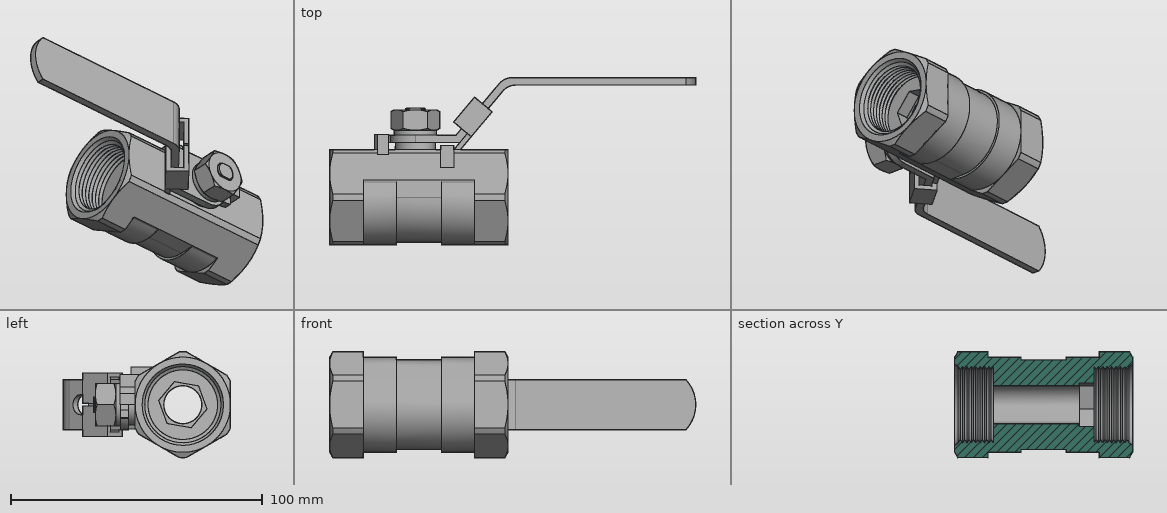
import cadquery as cq
import math


body_length = 70.9
hex_flats = 37.8
hex_corner_diameter = 42.2
end_chamfer_angle = 30.0
hex_end_length = 13.4
collar_length = 13.1
collar_diameter = 37.8
waist_diameter = 35.8

thread_minor_diameter = 27.7
thread_major_diameter = 30.3
port_mouth_diameter = 32.3
mouth_depth = 1.5
thread_pitch = 1.7
thread_turns = 8
passage_diameter = 15.0
socket_flats = 16.9
socket_depth = 5.8
socket_turn = 10.0

stem_x = 34.0
stem_diameter = 8.0
stem_flats = 6.1
stem_top = 35.5
stem_chamfer = 0.5
gland_diameter = 16.0
gland_embed = 0.7
washer_diameter = 16.9
nut_flats = 16.9
nut_bottom = 26.6
nut_top = 34.8
nut_chamfer_angle = 30.0

overall_height = 66.5
strip_thickness = 3.0
strip_width = 20.0
lever_bottom = 21.7
lever_rise_x = 50.2
lever_angle = 50.0
lever_end_x = 145.5
bend_radius = 6.7
grip_end_radius = 14.5
lock_hole_diameter = 8.0
lock_hole_distance = 20.7
ear_x = 22.3
ear_top = -2.0
ear_bottom = -5.1
ear_root_top = 0.0
ear_root_bottom = -5.5

sleeve_start = 3.3
sleeve_length = 13.0
sleeve_depth = 9.2
sleeve_width = 25.3
sleeve_top_wall = 1.9
sleeve_bottom_wall = 2.0
sleeve_side_wall = 1.7
sleeve_slit = 1.0
tongue_width = 19.4

front_stop_x = 17.8
front_stop_end_x = 23.5
front_stop_step = 1.3
front_stop_top = 25.0
front_stop_height = 12.1
front_stop_slope_top = 7.0
front_stop_slope_bottom = 4.4
front_stop_root = 16.7
rear_stop_x = 44.1
rear_stop_end_x = 49.3
rear_stop_inner = 7.3
rear_stop_outer = 15.0
rear_stop_top = 20.7
rear_stop_root = 11.8

flat_y = hex_flats / 2
grip_top = overall_height - flat_y
lever_top = lever_bottom + strip_thickness
slope = math.radians(lever_angle)
port_depth = mouth_depth + thread_turns * thread_pitch


def y_cylinder(diameter, bottom, top):
    """A cylinder on the stem axis between two heights."""
    base = cq.Workplane("XZ", origin=(stem_x, bottom, 0))
    return base.circle(diameter / 2).extrude(bottom - top)


def y_prism(points, bottom, top):
    """A prism along Y over an outline of (x, z) points."""
    return cq.Workplane("XZ", origin=(0, bottom, 0)).polyline(points).close().extrude(bottom - top)


def x_cylinder(diameter, start, length):
    """A cylinder on the pipe axis."""
    return cq.Workplane("YZ", origin=(start, 0, 0)).circle(diameter / 2).extrude(length)


def x_hexagon(flats, start, length, turn):
    """A hexagon bar along X with one corner turned from +Y by an angle."""
    corners = flats / math.cos(math.pi / 6)
    bar = cq.Workplane("YZ", origin=(start, 0, 0)).polygon(6, corners).extrude(length)
    return bar.rotate((0, 0, 0), (1, 0, 0), turn)


def turned_blank(length, flats, corner_diameter, chamfer_angle):
    """A round bar along X, chamfered at both ends down to the hexagon flats."""
    radial = (corner_diameter - flats) / 2
    axial = radial * math.tan(math.radians(chamfer_angle))
    outline = [
        (0, 0),
        (0, flats / 2),
        (axial, corner_diameter / 2),
        (length - axial, corner_diameter / 2),
        (length, flats / 2),
        (length, 0),
    ]
    return cq.Workplane("XY").polyline(outline).close().revolve(360, (0, 0, 0), (1, 0, 0))


def make_body():
    bar = x_hexagon(hex_flats, 0, body_length, 90)
    bar = bar.intersect(turned_blank(body_length, hex_flats, hex_corner_diameter, end_chamfer_angle))
    middle_length = body_length - 2 * hex_end_length
    relief = cq.Workplane("XY").box(middle_length, 2 * hex_flats, 2 * hex_flats, centered=(False, True, True))
    deck = cq.Workplane("XY").box(middle_length, hex_flats, waist_diameter, centered=(False, False, True))
    body = bar.cut(relief.cut(deck).translate((hex_end_length, 0, 0)))
    body = body.union(x_cylinder(waist_diameter, hex_end_length, middle_length))
    for start in (hex_end_length, body_length - hex_end_length - collar_length):
        body = body.union(x_cylinder(collar_diameter, start, collar_length))
    return body


def make_port():
    """The threaded cavity that opens at X = 0, with ring grooves for the thread."""
    minor = thread_minor_diameter / 2
    major = thread_major_diameter / 2
    outline = [(0, 0), (0, port_mouth_diameter / 2), (mouth_depth, major)]
    for turn in range(thread_turns):
        start = mouth_depth + turn * thread_pitch
        outline.append((start + thread_pitch / 2, minor))
        outline.append((start + thread_pitch, major))
    outline.append((port_depth, 0))
    return cq.Workplane("XY").polyline(outline).close().revolve(360, (0, 0, 0), (1, 0, 0))


def make_stops():
    """The two lugs on the body that limit the swing of the lever."""
    step_x = front_stop_x + front_stop_step
    front = [
        (front_stop_x, 0),
        (front_stop_x, front_stop_slope_bottom),
        (step_x, front_stop_slope_top),
        (step_x, front_stop_height),
        (front_stop_end_x, front_stop_height),
        (front_stop_end_x, 0),
    ]
    rear = [
        (rear_stop_x, rear_stop_inner),
        (rear_stop_x, rear_stop_outer),
        (rear_stop_end_x, rear_stop_outer),
        (rear_stop_end_x, rear_stop_inner),
    ]
    front_stop = y_prism(front, front_stop_root, front_stop_top)
    return front_stop.union(y_prism(rear, rear_stop_root, rear_stop_top))


def make_stem():
    """The flatted stem with its gland, washer and nut."""
    stem = y_cylinder(stem_diameter, flat_y, stem_top).faces(">Y").chamfer(stem_chamfer)
    flats = cq.Workplane("XY").box(2 * hex_flats, 4 * stem_top, stem_flats)
    stem = stem.intersect(flats.translate((stem_x, 0, 0)))
    gland = y_cylinder(gland_diameter, flat_y - gland_embed, lever_bottom)
    washer = y_cylinder(washer_diameter, lever_top, nut_bottom)
    height = nut_top - nut_bottom
    corners = nut_flats / math.cos(math.pi / 6)
    nut = x_hexagon(nut_flats, 0, height, 90).intersect(
        turned_blank(height, nut_flats, corners, nut_chamfer_angle)
    )
    nut = nut.rotate((0, 0, 0), (0, 0, 1), 90)
    nut = nut.rotate((0, 0, 0), (0, 1, 0), 90).translate((stem_x, nut_bottom, 0))
    return stem.union(gland).union(washer).union(nut)


def on_slope(distance, depth):
    """The (x, y) point a distance up the lever slope and a depth below its upper face."""
    x = lever_rise_x + distance * math.cos(slope) + depth * math.sin(slope)
    y = lever_top + distance * math.sin(slope) - depth * math.cos(slope)
    return (x, y)


def slope_block(start, end, upper, lower, width):
    """A block along the lever slope, centred on Z = 0."""
    corners = [on_slope(start, upper), on_slope(end, upper), on_slope(end, lower), on_slope(start, lower)]
    return cq.Workplane("XY").polyline(corners).close().extrude(width / 2, both=True)


def make_lever():
    rise = (grip_top - lever_top) / math.sin(slope)
    top_bend_x = on_slope(rise, 0)[0]
    corner_shift = strip_thickness * math.tan(slope / 2)
    side = [
        (stem_x, lever_bottom),
        (lever_rise_x + corner_shift, lever_bottom),
        (top_bend_x + corner_shift, grip_top - strip_thickness),
        (lever_end_x, grip_top - strip_thickness),
        (lever_end_x, grip_top),
        (top_bend_x, grip_top),
        (lever_rise_x, lever_top),
        (stem_x, lever_top),
    ]
    lever = cq.Workplane("XY").polyline(side).close().extrude(strip_width / 2, both=True)
    inner_pick = (top_bend_x + corner_shift, grip_top - strip_thickness, 0)
    lever = lever.edges(cq.NearestToPointSelector(inner_pick)).fillet(bend_radius)
    outer_pick = (top_bend_x, grip_top, 0)
    lever = lever.edges(cq.NearestToPointSelector(outer_pick)).fillet(bend_radius)

    half_width = strip_width / 2
    arch = grip_end_radius - math.sqrt(grip_end_radius**2 - half_width**2)
    outline = (
        cq.Workplane("XZ")
        .moveTo(stem_x, -half_width)
        .lineTo(lever_end_x - arch, -half_width)
        .threePointArc((lever_end_x, 0), (lever_end_x - arch, half_width))
        .lineTo(stem_x, half_width)
        .close()
        .extrude(-2 * grip_top)
    )
    lever = lever.intersect(outline)

    lever = lever.union(y_cylinder(strip_width, lever_bottom, lever_top))
    ear = [
        (stem_x, ear_root_top),
        (stem_x - half_width, ear_root_top),
        (ear_x, ear_top),
        (ear_x, ear_bottom),
        (stem_x - half_width, ear_root_bottom),
        (stem_x, ear_root_bottom),
    ]
    lever = lever.union(y_prism(ear, lever_bottom, lever_top))

    hole_x, hole_y = on_slope(lock_hole_distance, 0)
    downward = (math.sin(slope), -math.cos(slope), 0)
    across = cq.Plane(origin=(hole_x, hole_y, 0), xDir=(0, 0, 1), normal=downward)
    hole = cq.Workplane(across).circle(lock_hole_diameter / 2).extrude(strip_thickness)
    return lever.cut(hole)


def make_sleeve():
    end = sleeve_start + sleeve_length
    lower = strip_thickness + sleeve_bottom_wall
    upper = lower - sleeve_depth
    ceiling = upper + sleeve_top_wall
    sleeve = slope_block(sleeve_start, end, upper, lower, sleeve_width)
    cavity_width = sleeve_width - 2 * sleeve_side_wall
    sleeve = sleeve.cut(slope_block(sleeve_start, end, ceiling, strip_thickness, cavity_width))
    sleeve = sleeve.cut(slope_block(sleeve_start, end, upper, ceiling, sleeve_slit))

    def reach(depth):
        return (flat_y - on_slope(0, depth)[1]) / math.sin(slope)

    corners = [
        on_slope(sleeve_start, strip_thickness),
        on_slope(sleeve_start, lower),
        on_slope(reach(lower), lower),
        on_slope(reach(strip_thickness), strip_thickness),
    ]
    tongue = cq.Workplane("XY").polyline(corners).close().extrude(tongue_width / 2, both=True)
    return sleeve.union(tongue)


port = make_port()
body = make_body().union(make_stops())
body = body.cut(port).cut(port.mirror("YZ").translate((body_length, 0, 0)))
body = body.cut(x_cylinder(passage_diameter, 0, body_length))
body = body.cut(x_hexagon(socket_flats, port_depth, socket_depth, socket_turn))

result = body.union(make_stem()).union(make_lever()).union(make_sleeve())